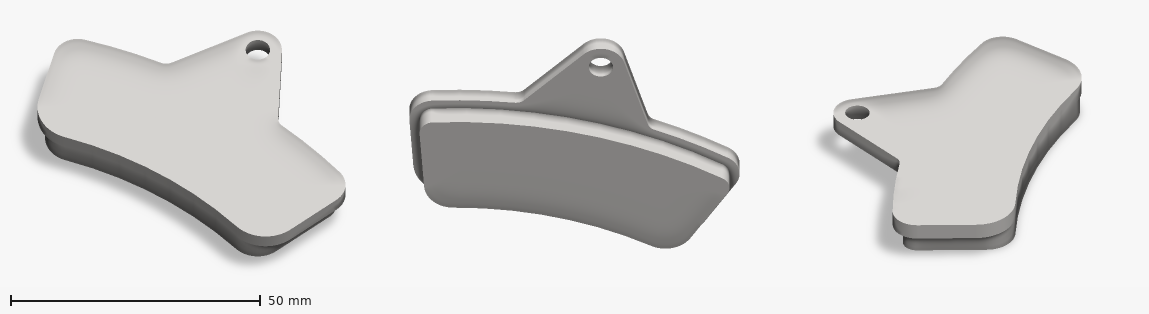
import cadquery as cq
import math

overall_width = 67.85
overall_depth = 44.45
plate_thickness = 3.25
pad_thickness = 4.35

inner_radius = 81.3
outer_radius = 105.75
arc_center_y = -78.4
side_taper = math.radians(18)
outer_corner_radius = 4.9
inner_corner_radius = 7.95

pad_inset = 2.05

lug_radius = 4.8
hole_diameter = 4.9
lug_half_angle = math.radians(30.5)
lug_root_radius = 2.4
lug_center_y = overall_depth - lug_radius

corner_center_x = overall_width / 2 - outer_corner_radius
corner_center_y = arc_center_y + math.sqrt(
    (outer_radius - outer_corner_radius) ** 2 - corner_center_x ** 2
)


def end_corner(radius, inset):
    """Sharp +X corner where the tapered end line meets an arc of the given radius."""
    normal_x = math.cos(side_taper)
    normal_y = -math.sin(side_taper)
    distance = (
        corner_center_x * normal_x
        + (corner_center_y - arc_center_y) * normal_y
        + outer_corner_radius
        - inset
    )
    along = math.sqrt(radius ** 2 - distance ** 2)
    x = distance * normal_x - along * normal_y
    y = arc_center_y + distance * normal_y + along * normal_x
    return x, y


def ring_segment(inset, base_z, thickness):
    """Arched slab with tapered ends and rounded corners."""
    top_radius = outer_radius - inset
    top_x, top_y = end_corner(top_radius, inset)
    bottom_x, bottom_y = end_corner(inner_radius, inset)
    slab = (
        cq.Workplane("XY", origin=(0, 0, base_z))
        .moveTo(-top_x, top_y)
        .threePointArc((0, arc_center_y + top_radius), (top_x, top_y))
        .lineTo(bottom_x, bottom_y)
        .threePointArc((0, arc_center_y + inner_radius), (-bottom_x, bottom_y))
        .close()
        .extrude(thickness)
    )
    slab = slab.edges("|Z").edges(">Y").fillet(outer_corner_radius - inset)
    return slab.edges("|Z").edges("<Y").fillet(inner_corner_radius - inset)


def mounting_lug():
    """Tapered lug with a round tip, widening until it is buried in the plate."""
    tangent_x = lug_radius * math.cos(lug_half_angle)
    tangent_y = lug_center_y + lug_radius * math.sin(lug_half_angle)
    base_y = corner_center_y
    base_x = tangent_x + (tangent_y - base_y) * math.tan(lug_half_angle)
    return (
        cq.Workplane("XY", origin=(0, 0, pad_thickness))
        .moveTo(-base_x, base_y)
        .lineTo(-tangent_x, tangent_y)
        .threePointArc((0, overall_depth), (tangent_x, tangent_y))
        .lineTo(base_x, base_y)
        .close()
        .extrude(plate_thickness)
    )


def root_edges():
    """Box selector around the two corners where the lug meets the plate."""
    search_half_width = 17.65
    search_bottom = arc_center_y + outer_radius - pad_inset
    search_top = arc_center_y + outer_radius + pad_inset
    return cq.selectors.BoxSelector(
        (-search_half_width, search_bottom, 0),
        (search_half_width, search_top, pad_thickness + plate_thickness),
    )


plate = ring_segment(0, pad_thickness, plate_thickness).union(mounting_lug())
plate = plate.edges("|Z").edges(root_edges()).fillet(lug_root_radius)

hole = (
    cq.Workplane("XY", origin=(0, lug_center_y, pad_thickness))
    .circle(hole_diameter / 2)
    .extrude(plate_thickness)
)

pad = ring_segment(pad_inset, 0, pad_thickness)
result = plate.cut(hole).union(pad)